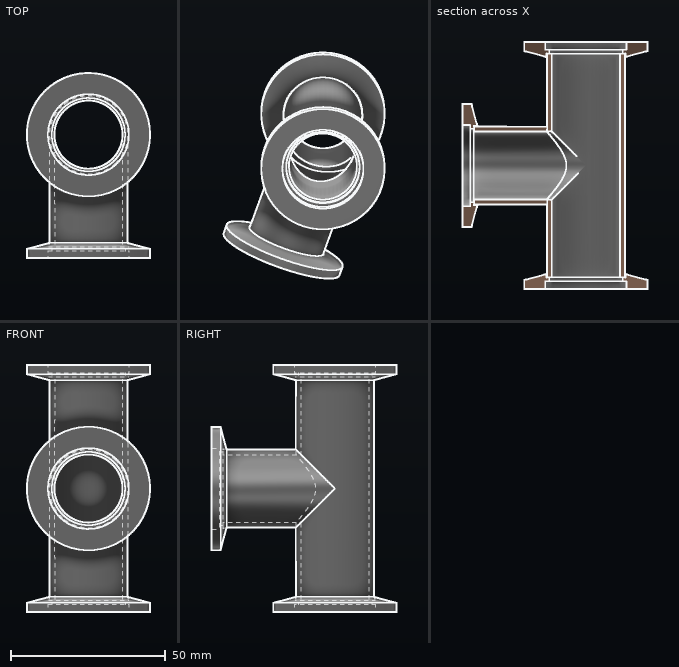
import cadquery as cq
import math

run_length = 80.0
branch_reach = 40.0

tube_diameter = 25.4
bore_diameter = 22.0

flange_diameter = 40.0
cone_tip_depth = 5.0
cone_angle = 15.0
socket_diameter = 25.7
recess_diameter = 26.2
recess_depth = 2.5
lip_diameter = 23.8
tube_setback = 3.8

tube_radius = tube_diameter / 2
flange_radius = flange_diameter / 2
socket_radius = socket_diameter / 2
cone_slope = math.tan(math.radians(cone_angle))
rim_thickness = cone_tip_depth - (flange_radius - tube_radius) * cone_slope
flange_thickness = rim_thickness + (flange_radius - socket_radius) * cone_slope
run_end = run_length / 2

port_planes = [
    cq.Plane(origin=(0, 0, run_end), xDir=(1, 0, 0), normal=(0, 0, 1)),
    cq.Plane(origin=(0, 0, -run_end), xDir=(1, 0, 0), normal=(0, 0, -1)),
    cq.Plane(origin=(0, -branch_reach, 0), xDir=(1, 0, 0), normal=(0, -1, 0)),
]


def branch_cylinder(diameter, length):
    """Solid cylinder from the run axis along the branch axis."""
    return cq.Workplane("XZ").circle(diameter / 2).extrude(length)


def run_cylinder(diameter, length):
    """Solid cylinder along Z, centred on the branch axis."""
    return cq.Workplane("XY", origin=(0, 0, -length / 2)).circle(diameter / 2).extrude(length)


def make_run_tube():
    """Straight tube with a side opening that meets the branch bore."""
    tube_length = run_length - 2 * tube_setback
    tube = run_cylinder(tube_diameter, tube_length).cut(run_cylinder(bore_diameter, tube_length))
    return tube.cut(branch_cylinder(bore_diameter, branch_reach))


def make_branch_tube():
    """Side tube whose inner end is a saddle resting on the run tube."""
    tube_length = branch_reach - tube_setback
    tube = branch_cylinder(tube_diameter, tube_length)
    tube = tube.cut(run_cylinder(tube_diameter, run_length))
    return tube.cut(branch_cylinder(bore_diameter, tube_length))


def make_flange(plane):
    """Clamp flange: sealing recess in front, lip inside, clearance socket behind."""
    profile = [
        (recess_diameter / 2, 0),
        (flange_radius, 0),
        (flange_radius, -rim_thickness),
        (socket_radius, -flange_thickness),
        (socket_radius, -tube_setback),
        (lip_diameter / 2, -tube_setback),
        (lip_diameter / 2, -recess_depth),
        (recess_diameter / 2, -recess_depth),
    ]
    section = cq.Plane(origin=plane.origin, xDir=plane.xDir, normal=plane.yDir * -1)
    return cq.Workplane(section).polyline(profile).close().revolve(360, (0, 0), (0, 1))


run_tube = make_run_tube()
branch_tube = make_branch_tube()
flanges = [make_flange(plane).val() for plane in port_planes]

result = cq.Compound.makeCompound([run_tube.val(), branch_tube.val(), *flanges])